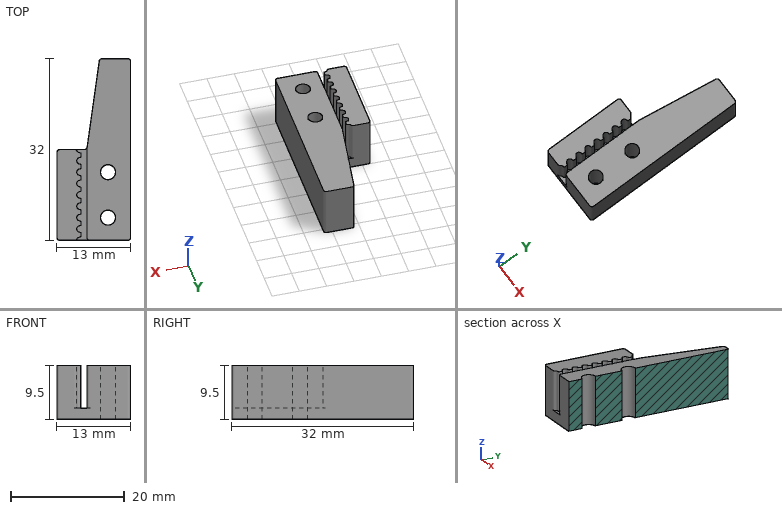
import cadquery as cq
import math

width = 13.0
length = 32.0
height = 9.5
corner_radius = 0.5

clamp_length = 16.0
arm_base_x = 5.25
arm_tip_x = 7.5

slot_floor_z = 2.0
tooth_face_x = 4.23
slot_wall_x = 5.3
slot_overrun = 0.5

tooth_pitch = 2.0
tooth_depth = 0.75
root_radius = 0.555
flank_radius = 1.0
flank_offset = 0.4
tip_radius = 0.15

hole_diameter = 2.6
hole_x = 9.0
hole_ys = (4.0, 12.0)


def make_body():
    """Block with a tapered arm and rounded vertical edges."""
    outline = [
        (0, 0),
        (width, 0),
        (width, length),
        (arm_tip_x, length),
        (arm_base_x, clamp_length),
        (0, clamp_length),
    ]
    body = cq.Workplane("XY").polyline(outline).close().extrude(height)
    return body.edges("|Z").fillet(corner_radius)


def make_slot():
    """Straight part of the slot, running past both ends of the clamp and trimming the arm base."""
    slot_width = slot_wall_x - tooth_face_x
    slot_length = clamp_length + 2 * slot_overrun
    return (
        cq.Workplane("XY", origin=(tooth_face_x, -slot_overrun, slot_floor_z))
        .rect(slot_width, slot_length, centered=False)
        .extrude(height - slot_floor_z)
    )


def make_tooth_groove(center_y):
    """Groove with a round root, two flank arcs and rounded tooth tips."""
    root_center_depth = tooth_depth - root_radius
    root_angle = math.atan2(root_center_depth, flank_offset)
    tip_reach = flank_radius + tip_radius
    tip_angle = math.asin(tip_radius / tip_reach)
    tip_center_across = tip_reach * math.cos(tip_angle) - flank_offset
    tip_middle_angle = math.pi / 4 + tip_angle / 2

    def groove_point(across, depth, side):
        return (tooth_face_x - depth, center_y + side * across)

    def flank_point(angle, side):
        across = flank_radius * math.cos(angle) - flank_offset
        return groove_point(across, flank_radius * math.sin(angle), side)

    def tip_middle(side):
        across = tip_center_across - tip_radius * math.cos(tip_middle_angle)
        depth = tip_radius * (1 - math.sin(tip_middle_angle))
        return groove_point(across, depth, side)

    flank_middle_angle = (tip_angle + root_angle) / 2
    return (
        cq.Workplane("XY", origin=(0, 0, slot_floor_z))
        .moveTo(*groove_point(tip_center_across, 0, -1))
        .threePointArc(tip_middle(-1), flank_point(tip_angle, -1))
        .threePointArc(flank_point(flank_middle_angle, -1), flank_point(root_angle, -1))
        .threePointArc(groove_point(0, tooth_depth, 1), flank_point(root_angle, 1))
        .threePointArc(flank_point(flank_middle_angle, 1), flank_point(tip_angle, 1))
        .threePointArc(tip_middle(1), groove_point(tip_center_across, 0, 1))
        .close()
        .extrude(height - slot_floor_z)
    )


def round_slot_mouths(body):
    """Round the vertical edges where the slot meets the clamp's end faces."""
    reach = 0.05
    groove_root_x = tooth_face_x - tooth_depth
    mouth_edges = [(groove_root_x, 0), (slot_wall_x, 0), (groove_root_x, clamp_length)]
    for x, y in mouth_edges:
        lower = (x - reach, y - reach, slot_floor_z - reach)
        upper = (x + reach, y + reach, height + reach)
        edge = body.edges("|Z").edges(cq.selectors.BoxSelector(lower, upper))
        body = edge.fillet(corner_radius)
    return body


def make_holes():
    """Vertical through holes for the mounting screws."""
    centers = [(hole_x, y) for y in hole_ys]
    return cq.Workplane("XY").pushPoints(centers).circle(hole_diameter / 2).extrude(height)


result = make_body().cut(make_slot())
groove_count = round(clamp_length / tooth_pitch) + 1
for index in range(groove_count):
    result = result.cut(make_tooth_groove(index * tooth_pitch))
result = round_slot_mouths(result)
result = result.cut(make_holes())